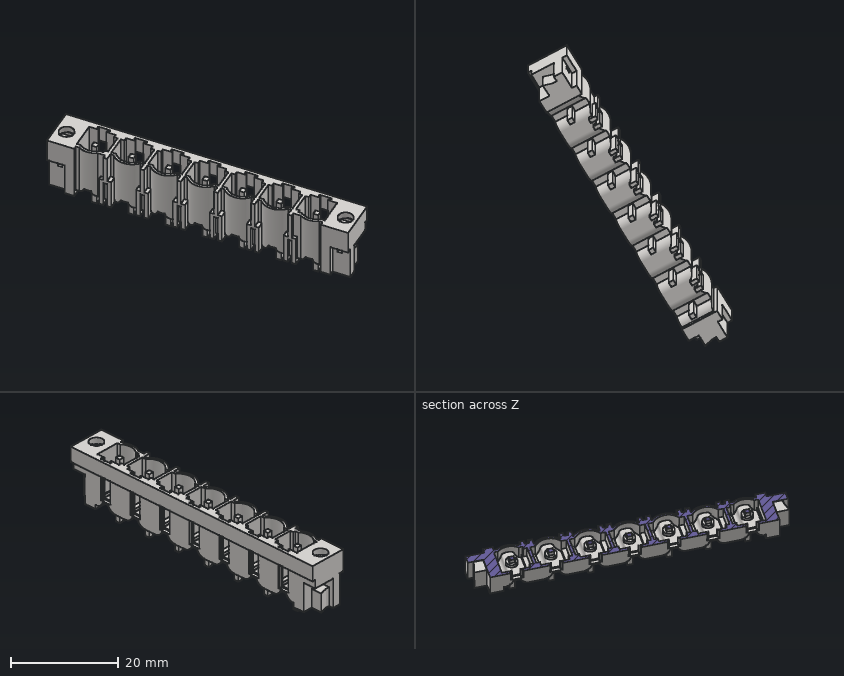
import cadquery as cq
import math


length = 62.2
depth = 8.4
height = 11.7

pole_count = 7
pitch = 7.62
pole_y = 3.8
pole_xs = [(i - (pole_count - 1) / 2) * pitch for i in range(pole_count)]
divider_xs = [(left + right) / 2 for left, right in zip(pole_xs, pole_xs[1:])]

wall = 0.75
floor_thickness = 0.6
wall_bottom = 0.95
back_y = depth - wall
flange_height = 3.35

bulge_inset = 0.2
bulge_radius = pole_y - bulge_inset
bulge_inner_radius = pole_y - wall

pocket_half_width = 2.75
pocket_back_y = back_y - wall
shoulder_back_y = pocket_back_y - wall
shoulder_front_y = 2.05
shoulder_floor_z = 2.2
divider = 0.7
shoulder_half_width = (pitch - divider) / 2
slot_width = 2.5
slot_mouth_width = 1.7
slot_lip = 0.3
slot_floor_z = 2.55

lobe_x = 2.5
lobe_radius = 1.85
lobe_z = wall_bottom + lobe_radius
arch_roof_z = 2.25

pin_size = 1.05
pin_top_z = height - 1.0
pin_bottom_z = -3.25
collar_diameter = 2.25
collar_height = 0.6

rib_width = 0.8
clip_width = 2.5
clip_height = 6.2
clip_slot_height = 5.5

block_width = 5.65
screw_x = 2.3
screw_diameter = 3.0
screw_depth = 1.4
nut_width = 3.25
nut_height = 0.9
end_recess_depth = 3.0
end_recess_height = 6.45
end_recess_front_y = 2.8
corner_width = 3.7
corner_depth = 1.0
corner_height = 6.85
window_size = 0.95
window_x = 2.25
window_z = 5.8
tongue_height = 4.15
tongue_back_y = 5.5
tongue_bend_y = 3.7
tongue_back_inset = 0.55
tongue_front_inset = 1.05


def box(x0, x1, y0, y1, z0, z1):
    """Block between opposite corners."""
    return cq.Workplane("XY").box(x1 - x0, y1 - y0, z1 - z0, centered=False).translate((x0, y0, z0))


def cylinder(x, y, diameter, z0, z1):
    """Upright cylinder."""
    return cq.Workplane("XY").workplane(offset=z0).center(x, y).circle(diameter / 2).extrude(z1 - z0)


def both_ends(shape):
    """A shape at the -X end together with its mirror image at the +X end."""
    return shape.union(shape.mirror("YZ"))


def arch_prism(x, clearance):
    """Arch under a pole, grown upward by `clearance` all round, running the whole depth."""
    roof_x = lobe_x - math.sqrt(lobe_radius**2 - (lobe_z - arch_roof_z) ** 2)
    radius = lobe_radius - clearance
    shrink = radius / lobe_radius
    shoulder = (lobe_x - (lobe_x - roof_x) * shrink, lobe_z - (lobe_z - arch_roof_z) * shrink)
    foot = (lobe_x, lobe_z - radius)
    lobe_angle = (math.pi / 2 + math.atan2(lobe_z - arch_roof_z, lobe_x - roof_x)) / 2
    lobe_mid = (lobe_x - radius * math.cos(lobe_angle), lobe_z - radius * math.sin(lobe_angle))
    roof_z = arch_roof_z + clearance

    outline = cq.Workplane("XZ").moveTo(-lobe_x, 0).lineTo(-foot[0], foot[1])
    outline = outline.threePointArc((-lobe_mid[0], lobe_mid[1]), (-shoulder[0], shoulder[1]))
    if clearance > 0:
        round_angle = (math.pi / 2 + math.atan2(shoulder[1] - arch_roof_z, shoulder[0] - roof_x)) / 2
        round_mid = (
            roof_x + clearance * math.cos(round_angle),
            arch_roof_z + clearance * math.sin(round_angle),
        )
        outline = outline.threePointArc((-round_mid[0], round_mid[1]), (-roof_x, roof_z))
        outline = outline.lineTo(roof_x, roof_z).threePointArc(round_mid, shoulder)
    else:
        outline = outline.lineTo(roof_x, roof_z)
    outline = outline.threePointArc(lobe_mid, foot).lineTo(lobe_x, 0).close()
    return outline.extrude(-depth).translate((x, 0, 0))


def make_shell():
    """Solid block of the housing before pockets: middle section, bulges, ribs and end blocks."""
    half = length / 2
    block_edge = half - block_width
    shell = box(-half, half, 2 * wall, back_y, wall_bottom, height)
    shell = shell.union(box(-half, half, back_y, depth, height - flange_height, height))
    shell = shell.union(both_ends(box(-half, -block_edge, 0, back_y, 0, height)))
    shell = shell.union(both_ends(box(-block_edge, divider_xs[0], wall, 2 * wall, wall_bottom, height)))
    for x in pole_xs:
        shell = shell.union(cylinder(x, pole_y, 2 * bulge_radius, wall_bottom, height))
        shell = shell.cut(arch_prism(x, 0))
    for x in divider_xs:
        shell = shell.union(make_rib(x))
    return shell


def make_rib(x):
    """Narrow rib on a divider that widens into a slotted clip at the bottom."""
    half_rib = rib_width / 2
    half_clip = clip_width / 2
    rib = box(x - half_rib, x + half_rib, 0, 2 * wall, clip_height, height)
    clip = box(x - half_clip, x + half_clip, 0, 2 * wall, 0, clip_height)
    slot = box(x - half_rib, x + half_rib, 0, wall, 0, clip_slot_height)
    foot_slot = box(x - half_rib, x + half_rib, 0, 2 * wall, 0, wall_bottom)
    return rib.union(clip).cut(slot).cut(foot_slot)


def make_pocket(index):
    """Space to cut for one pole, with the arched floor and the collar left standing."""
    x = pole_xs[index]
    floor_z = wall_bottom + floor_thickness
    is_first = index == 0
    is_last = index == pole_count - 1

    front_y = 2 * wall if is_first or is_last else shoulder_front_y
    left, right = x - pocket_half_width, x + pocket_half_width
    pocket = box(left, right, front_y, pocket_back_y, floor_z, height)
    bulge = cylinder(x, pole_y, 2 * bulge_inner_radius, floor_z, height)
    pocket = pocket.union(bulge.intersect(box(left, right, 0, shoulder_front_y, floor_z, height)))

    shoulder_left = left if is_first else x - shoulder_half_width
    shoulder_right = right if is_last else x + shoulder_half_width
    pocket = pocket.union(
        box(shoulder_left, shoulder_right, shoulder_front_y, shoulder_back_y, floor_z, height)
    )

    pocket = pocket.cut(arch_prism(x, floor_thickness))
    pocket = pocket.cut(box(x - pitch, x - lobe_x, 0, depth, 0, shoulder_floor_z))
    pocket = pocket.cut(box(x + lobe_x, x + pitch, 0, depth, 0, shoulder_floor_z))
    collar_top = arch_roof_z + floor_thickness + collar_height
    pocket = pocket.cut(cylinder(x, pole_y, collar_diameter, wall_bottom, collar_top))
    return pocket.union(make_back_slot(x))


def make_back_slot(x):
    """T-shaped slot through the back wall, closed at the top by the flange behind it."""
    half_mouth = slot_mouth_width / 2
    half_slot = slot_width / 2
    mouth = box(x - half_mouth, x + half_mouth, pocket_back_y, back_y, slot_floor_z, height)
    slot = box(x - half_slot, x + half_slot, pocket_back_y + slot_lip, back_y, slot_floor_z, height)
    return mouth.union(slot)


def make_end_cuts():
    """Recesses, screw hole, nut space and window of the -X end block."""
    end = -length / 2
    side = box(end, end + end_recess_depth, end_recess_front_y, back_y, 0, end_recess_height)
    tongue = (
        cq.Workplane("XY")
        .moveTo(end + end_recess_depth, tongue_back_y)
        .lineTo(end + tongue_back_inset, tongue_back_y)
        .lineTo(end + tongue_front_inset, tongue_bend_y)
        .lineTo(end + tongue_front_inset, end_recess_front_y)
        .lineTo(end + end_recess_depth, end_recess_front_y)
        .close()
        .extrude(tongue_height)
    )
    corner = box(end, end + corner_width, 0, corner_depth, 0, corner_height)
    window = cq.Workplane("XY").box(window_size, back_y, window_size)
    window = window.translate((end + window_x, back_y / 2, window_z))
    window = window.intersect(box(end, end + end_recess_depth, 0, end_recess_front_y, 0, height))

    hole_bottom = height - screw_depth
    hole = cylinder(end + screw_x, pole_y, screw_diameter, hole_bottom, height)
    nut_space = cq.Workplane("XY").box(nut_width, nut_width, nut_height, centered=(True, True, False))
    nut_space = nut_space.translate((end + screw_x, pole_y, hole_bottom - nut_height))
    return side.cut(tongue).union(corner).union(window).union(hole).union(nut_space)


def make_pin(x):
    """Square contact pin."""
    half = pin_size / 2
    return box(x - half, x + half, pole_y - half, pole_y + half, pin_bottom_z, pin_top_z)


def make_housing():
    """Housing with its pockets, end cuts and pin holes."""
    housing = make_shell()
    for index in range(pole_count):
        housing = housing.cut(make_pocket(index))
    housing = housing.cut(both_ends(make_end_cuts()))
    for x in pole_xs:
        housing = housing.cut(make_pin(x))
    return housing


housing = make_housing()
pins = [make_pin(x) for x in pole_xs]
result = cq.Compound.makeCompound([housing.val(), *[pin.val() for pin in pins]])